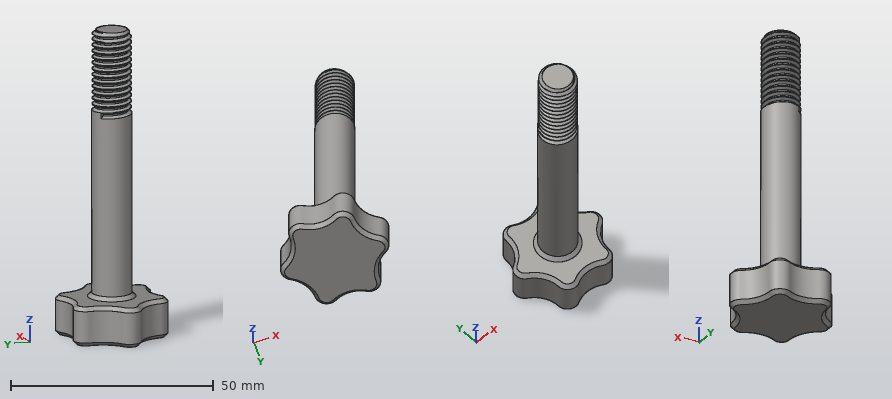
import cadquery as cq
import math

knob_height = 10.0
lobe_count = 6
lobe_radius = 3.0
lobe_center_radius = 11.0
valley_radius = 8.0
knob_chamfer = 1.0

total_height = 78.0
shank_diameter = 10.0
collar_size = 1.0

thread_diameter = 9.7
thread_length = 20.0
thread_pitch = 1.5
thread_root_radius = 4.05
thread_root_width = thread_pitch / 4
flank_angle = 30.0
groove_outer_radius = 5.02
groove_lead_in = 1.0
groove_start_angle = 125.0
tip_chamfer = 1.0
trim_seam_angle = 130.0

shank_top = total_height - thread_length
groove_bottom = shank_top - groove_lead_in
groove_height = thread_length + groove_lead_in + thread_pitch
blank_height = total_height + 4 * thread_pitch


def polar(radius, angle):
    """Point in the XY plane, angle in degrees."""
    return (radius * math.cos(math.radians(angle)), radius * math.sin(math.radians(angle)))


def make_knob():
    """Star-shaped knob whose convex lobes and concave valleys meet tangentially."""
    lobe_step = 360.0 / lobe_count
    half_step = lobe_step / 2
    lobe_to_chord = lobe_center_radius * math.sin(math.radians(half_step))
    chord_radius = lobe_center_radius * math.cos(math.radians(half_step))
    center_distance = lobe_radius + valley_radius
    valley_center_radius = chord_radius + math.sqrt(center_distance**2 - lobe_to_chord**2)
    valley_bottom_radius = valley_center_radius - valley_radius

    share = lobe_radius / center_distance
    along_valley = chord_radius + share * (valley_center_radius - chord_radius)
    across_valley = lobe_to_chord * (1 - share)
    tangent_radius = math.hypot(along_valley, across_valley)
    tangent_angle = half_step - math.degrees(math.atan2(across_valley, along_valley))

    outline = cq.Workplane("XY").moveTo(*polar(tangent_radius, -tangent_angle))
    for index in range(lobe_count):
        angle = index * lobe_step
        lobe_tip = polar(lobe_center_radius + lobe_radius, angle)
        lobe_end = polar(tangent_radius, angle + tangent_angle)
        valley_bottom = polar(valley_bottom_radius, angle + half_step)
        valley_end = polar(tangent_radius, angle + lobe_step - tangent_angle)
        outline = outline.threePointArc(lobe_tip, lobe_end).threePointArc(valley_bottom, valley_end)
    return outline.close().extrude(knob_height).faces("<Z or >Z").chamfer(knob_chamfer)


def make_shank():
    """Plain shank with its collar, left too long so that the groove can run out past the tip."""
    shank_radius = shank_diameter / 2
    return (
        cq.Workplane("XZ")
        .moveTo(0, knob_height / 2)
        .lineTo(shank_radius + collar_size, knob_height / 2)
        .lineTo(shank_radius + collar_size, knob_height)
        .lineTo(shank_radius, knob_height + collar_size)
        .lineTo(shank_radius, blank_height)
        .lineTo(0, blank_height)
        .close()
        .revolve(360, (0, 0, 0), (0, 1, 0))
    )


def make_thread_groove():
    """Helical trapezoid with a narrow root, ending between the tip and the end of the blank."""
    root_half = thread_root_width / 2
    groove_depth = groove_outer_radius - thread_root_radius
    mouth_half = root_half + groove_depth * math.tan(math.radians(flank_angle))
    helix = cq.Wire.makeHelix(thread_pitch, groove_height, thread_root_radius)
    groove = (
        cq.Workplane("XZ")
        .moveTo(thread_root_radius, root_half)
        .lineTo(groove_outer_radius, mouth_half)
        .lineTo(groove_outer_radius, -mouth_half)
        .lineTo(thread_root_radius, -root_half)
        .close()
        .sweep(cq.Workplane(helix), isFrenet=True)
    )
    return groove.rotate((0, 0, 0), (0, 0, 1), groove_start_angle).translate((0, 0, groove_bottom))


def make_thread_trim():
    """Material to remove around the thread crests, outside the tip chamfer and above the tip."""
    thread_radius = thread_diameter / 2
    trim_radius = shank_diameter
    trim_top = blank_height + thread_pitch
    trim = (
        cq.Workplane("XZ")
        .moveTo(thread_radius, shank_top)
        .lineTo(thread_radius, total_height - tip_chamfer)
        .lineTo(thread_radius - tip_chamfer, total_height)
        .lineTo(0, total_height)
        .lineTo(0, trim_top)
        .lineTo(trim_radius, trim_top)
        .lineTo(trim_radius, shank_top)
        .close()
        .revolve(360, (0, 0, 0), (0, 1, 0))
    )
    return trim.rotate((0, 0, 0), (0, 0, 1), trim_seam_angle)


threaded_shank = make_shank().cut(make_thread_groove()).cut(make_thread_trim())
result = make_knob().union(threaded_shank)